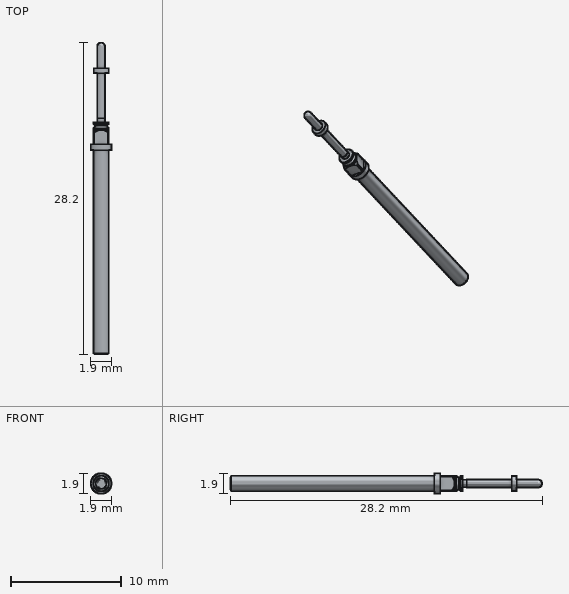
import cadquery as cq

overall_length = 28.2
flange_rear = 18.47
flange_thickness = 0.54
square_length = 1.27
dip_length = 0.1
rear_ridge_length = 0.05
groove_rear_taper = 0.23
groove_floor = 0.05
groove_front_taper = 0.1
front_ridge_length = 0.17
neck_length = 0.37
ring_rear = 25.45
ring_thickness = 0.45

body_diameter = 1.4
flange_diameter = 1.9
square_corner_diameter = 1.85
groove_diameter = 1.07
plunger_diameter = 0.73
neck_diameter = 0.7
ring_diameter = 1.38

square_width = body_diameter
square_front_chamfer = 0.2
rear_chamfer_depth = 0.23
rear_chamfer_length = 0.1

flange_front = flange_rear + flange_thickness
square_front = flange_front + square_length
ridge_rear = square_front + dip_length
ridge_front = ridge_rear + rear_ridge_length
groove_rear = ridge_front + groove_rear_taper
groove_front = groove_rear + groove_floor
front_ridge_rear = groove_front + groove_front_taper
barrel_front = front_ridge_rear + front_ridge_length
neck_front = barrel_front + neck_length


def rod(diameter, start, end):
    """Cylinder on the Y axis between two stations."""
    return cq.Workplane("XZ", origin=(0, start, 0)).circle(diameter / 2).extrude(start - end)


def taper(start_diameter, end_diameter, start, end):
    """Cone frustum on the Y axis between two stations."""
    outline = [(0, start), (start_diameter / 2, start), (end_diameter / 2, end), (0, end)]
    return cq.Workplane("XY").polyline(outline).close().revolve(360, (0, 0), (0, 1))


def barrel():
    """Receptacle tube with a chamfered rear end, and its flange."""
    rear_face_diameter = body_diameter - 2 * rear_chamfer_depth
    end = taper(rear_face_diameter, body_diameter, 0, rear_chamfer_length)
    tube = rod(body_diameter, rear_chamfer_length, flange_rear)
    flange = rod(flange_diameter, flange_rear, flange_front)
    return end.union(tube).union(flange)


def square_section():
    """Square wrench section with turned corners, beveled at the front."""
    square = (
        cq.Workplane("XZ", origin=(0, flange_front, 0))
        .rect(square_width, square_width)
        .extrude(-square_length)
    )
    turned = rod(square_corner_diameter, flange_front, square_front)
    turned = turned.faces(">Y").chamfer(square_front_chamfer)
    return square.intersect(turned)


def grooved_nose():
    """Ridges and V-shaped grooves in front of the square section."""
    dip_diameter = (body_diameter + groove_diameter) / 2
    dip_middle = square_front + dip_length / 2
    nose = taper(body_diameter, dip_diameter, square_front, dip_middle)
    nose = nose.union(taper(dip_diameter, body_diameter, dip_middle, ridge_rear))
    nose = nose.union(rod(body_diameter, ridge_rear, ridge_front))
    nose = nose.union(taper(body_diameter, groove_diameter, ridge_front, groove_rear))
    nose = nose.union(rod(groove_diameter, groove_rear, groove_front))
    nose = nose.union(taper(groove_diameter, body_diameter, groove_front, front_ridge_rear))
    return nose.union(rod(body_diameter, front_ridge_rear, barrel_front))


def plunger():
    """Necked plunger with a stop ring and a hemispherical tip."""
    tip_radius = plunger_diameter / 2
    tip_start = overall_length - tip_radius
    neck = rod(neck_diameter, barrel_front, neck_front)
    shaft = rod(plunger_diameter, neck_front, tip_start)
    ring = rod(ring_diameter, ring_rear, ring_rear + ring_thickness)
    tip = cq.Workplane("XY").sphere(tip_radius).translate((0, tip_start, 0))
    return neck.union(shaft).union(ring).union(tip)


result = barrel().union(square_section()).union(grooved_nose()).union(plunger())